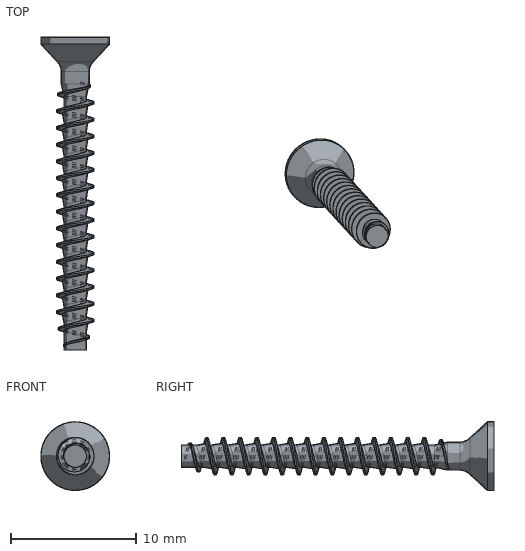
import cadquery as cq
import math

length = 25.0

head_radius = 2.75
rim_depth = 0.55
cone_end_radius = 1.48
cone_end_depth = 1.92
shank_radius = 1.12
shank_start_depth = 2.75
shank_end_depth = 3.72

core_radius = 0.9
core_start_depth = 4.75

first_crest_depth = 3.9
last_crest_depth = 23.98
turns = 15
pitch = (last_crest_depth - first_crest_depth) / turns
crest_radius = 1.5
crest_half_width = 0.062
flank_half_width = 0.18
root_half_width = 0.22
flare_radius = 1.02
flare_end_radius = 0.88
buried_radius = 0.75
start_depth = 3.5
full_start_depth = 4.9
full_end_depth = 22.88
end_depth = 24.75
start_sink = 0.4
end_sink = 0.6
tip_clearance = 0.05
piece_count = 16
points_per_piece = 24


def make_body():
    """Head, neck fillet, shank and core as one turned solid."""
    profile = (
        cq.Workplane("XY")
        .lineTo(0, -length)
        .lineTo(core_radius, -length)
        .lineTo(core_radius, -core_start_depth)
        .lineTo(shank_radius, -shank_end_depth)
        .lineTo(shank_radius, -shank_start_depth)
        .tangentArcPoint((cone_end_radius, -cone_end_depth), relative=False)
        .lineTo(head_radius, -rim_depth)
        .lineTo(head_radius, 0)
        .close()
    )
    return profile.revolve(360, (0, 0, 0), (0, 1, 0))


def sink_at(depth):
    """Radial drop of the thread at a crest depth."""
    if depth < full_start_depth:
        return start_sink * (full_start_depth - depth) / (full_start_depth - start_depth)
    if depth > full_end_depth:
        return end_sink * (depth - full_end_depth) / (end_depth - full_end_depth)
    return 0.0


def thread_edge(radius, offset, first, last):
    """Helix traced by one corner of the thread section between two crest depths."""
    points = []
    for i in range(points_per_piece + 1):
        depth = first + (last - first) * i / points_per_piece
        angle = 2 * math.pi * (depth - first_crest_depth) / pitch
        r = radius - sink_at(depth)
        points.append(cq.Vector(r * math.cos(angle), -depth - offset, r * math.sin(angle)))
    return cq.Edge.makeSpline(points)


def make_thread_piece(first, last):
    """Ridge and the tapered core flare behind it, between two crest depths."""
    flare_end = pitch - 1.2 * root_half_width
    section = [
        (buried_radius, -root_half_width),
        (crest_radius, -crest_half_width),
        (crest_radius, crest_half_width),
        (flare_radius, flank_half_width),
        (flare_end_radius, flare_end),
        (buried_radius, flare_end),
    ]
    edges = [thread_edge(radius, offset, first, last) for radius, offset in section]
    faces = [
        cq.Face.makeRuledSurface(edge, edges[(i + 1) % len(edges)])
        for i, edge in enumerate(edges)
    ]
    for place in (0, 1):
        corners = [edge.positionAt(place) for edge in edges]
        faces.append(cq.Face.makeFromWires(cq.Wire.makePolygon(corners, close=True)))
    return cq.Solid.makeSolid(cq.Shell.makeShell(faces))


piece_length = (end_depth - start_depth) / piece_count
pieces = [
    make_thread_piece(start_depth + i * piece_length, start_depth + (i + 1) * piece_length)
    for i in range(piece_count)
]
trim = cq.Workplane("XZ").circle(head_radius).extrude(length - tip_clearance)
pieces[-1] = pieces[-1].intersect(trim.val())
result = cq.Workplane(make_body().val().fuse(*pieces).Solids()[0])